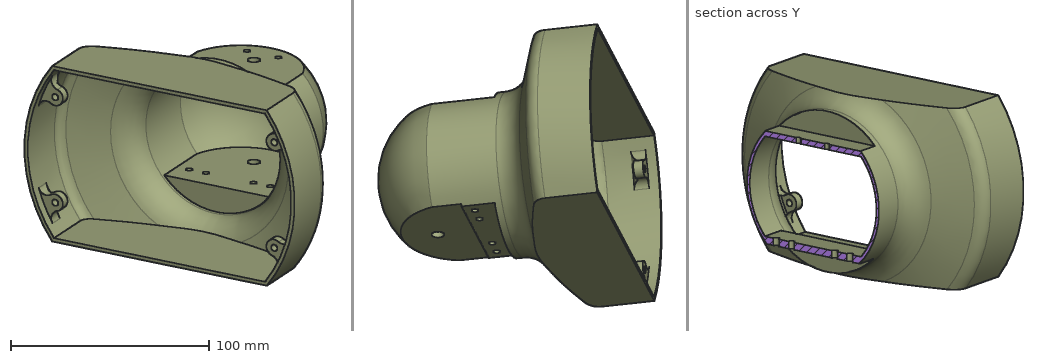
import cadquery as cq
import math

flange_radius = 78.0
flange_height = 95.0
total_length = 127.0
wall = 2.0

flange_depth = 27.1
neck_radius = 42.1
neck_start = 57.3
neck_end = 93.1
rim_round = 7.8
neck_round = 15.6

shoulder_y = 60.8
shoulder_wall = 1.5
neck_flat_z = 29.2
flat_wall = 3.1
step_height = 1.0
step_end = 78.0

cable_hole_diameter = 6.4
cable_hole_y = 97.2
mount_hole_diameter = 3.3
mount_hole_x = 9.0
mount_hole_rows = (73.3, 106.2)
step_hole_diameter = 3.5
step_hole_xs = (13.7, 23.4)
step_hole_y = 72.4

lug_x = 63.2
lug_z = 28.5
lug_radius = 4.5
lug_blend = 4.7
lug_hole_diameter = 3.5
lug_start = 5.3
lug_length = 4.8
lug_gusset = 2.8

big = 4 * flange_radius


def polar(radius, angle, center=(0, 0)):
    """Point at a radius and an angle in radians from a center."""
    return (center[0] + radius * math.cos(angle), center[1] + radius * math.sin(angle))


def slab(half_height, y_start, y_end):
    """Wide block centered on Z = 0 that spans y_start to y_end."""
    middle = (0, (y_start + y_end) / 2, 0)
    return cq.Workplane("XY").box(big, y_end - y_start, 2 * half_height).translate(middle)


def turned_body(inset):
    """Flange, S-shaped shoulder, neck and dome, offset inward by inset."""
    rim_center = (flange_radius - rim_round, flange_depth)
    neck_center = (neck_radius + neck_round, neck_start)
    rim_r = rim_round - inset
    neck_r = neck_round + inset
    inner_neck = neck_radius - inset

    across = neck_center[0] - rim_center[0]
    along = neck_center[1] - rim_center[1]
    touch = math.atan2(along, across) - math.acos((rim_round + neck_round) / math.hypot(across, along))

    dome_height = total_length - neck_end
    dome_radius = (neck_radius**2 + dome_height**2) / (2 * dome_height)
    dome_center = (0, total_length - dome_radius)
    dome_r = dome_radius - inset
    dome_edge_angle = math.acos(inner_neck / dome_r)
    dome_edge = polar(dome_r, dome_edge_angle, dome_center)
    dome_middle = polar(dome_r, (dome_edge_angle + math.pi / 2) / 2, dome_center)

    return (
        cq.Workplane("XY")
        .lineTo(flange_radius - inset, 0)
        .lineTo(flange_radius - inset, flange_depth)
        .threePointArc(polar(rim_r, touch / 2, rim_center), polar(rim_r, touch, rim_center))
        .lineTo(*polar(-neck_r, touch, neck_center))
        .threePointArc(polar(-neck_r, touch / 2, neck_center), (inner_neck, neck_start))
        .lineTo(*dome_edge)
        .threePointArc(dome_middle, (0, total_length - inset))
        .close()
        .revolve(360, (0, 0, 0), (0, 1, 0))
    )


def outer_body():
    """Turned body with flats on the flange and neck, and a raised step on the -Z flat."""
    flange = slab(flange_height / 2, 0, shoulder_y)
    neck = slab(neck_flat_z, shoulder_y, total_length)
    lower_half = cq.Workplane("XY").box(big, big, big).translate((0, 0, -big / 2))
    step = slab(neck_flat_z + step_height, shoulder_y, step_end).intersect(lower_half)
    return turned_body(0).intersect(flange.union(neck).union(step))


def cavity():
    """Inside of the shell, with flats that follow those outside."""
    pocket_start = shoulder_y - shoulder_wall
    flange = slab(flange_height / 2 - wall, 0, pocket_start)
    neck = slab(neck_flat_z - flat_wall, pocket_start, total_length)
    return turned_body(wall).intersect(flange.union(neck))


def lug():
    """Screw lug on the +X +Z side, blended into the curved flange wall.

    Its back is flat, with a 45 degree gusset where it meets the wall.
    """
    wall_r = flange_radius - wall
    seat_r = flange_radius - wall / 2
    center_r = math.hypot(lug_x, lug_z)
    center_angle = math.atan2(lug_z, lug_x)
    center = (lug_x, lug_z)

    blend_r = wall_r - lug_blend
    reach = lug_radius + lug_blend
    spread = math.acos((center_r**2 + blend_r**2 - reach**2) / (2 * center_r * blend_r))

    def blend_points(side):
        """Arc from the lug circle to the wall, then a point inside the wall."""
        wall_angle = center_angle + side * spread
        blend_center = polar(blend_r, wall_angle)
        toward_lug = math.atan2(lug_z - blend_center[1], lug_x - blend_center[0])
        sweep = math.remainder(wall_angle - toward_lug, 2 * math.pi)
        touch = polar(lug_blend, toward_lug, blend_center)
        middle = polar(lug_blend, toward_lug + sweep / 2, blend_center)
        return touch, middle, polar(wall_r, wall_angle), polar(seat_r, wall_angle)

    upper_touch, upper_middle, upper_wall, upper_seat = blend_points(1)
    lower_touch, lower_middle, lower_wall, lower_seat = blend_points(-1)
    nose = polar(center_r - lug_radius, center_angle)

    solid = (
        cq.Workplane("XZ", origin=(0, lug_start, 0))
        .moveTo(*upper_touch)
        .threePointArc(upper_middle, upper_wall)
        .lineTo(*upper_seat)
        .threePointArc(polar(seat_r, center_angle), lower_seat)
        .lineTo(*lower_wall)
        .threePointArc(lower_middle, lower_touch)
        .threePointArc(nose, upper_touch)
        .close()
        .moveTo(*center)
        .circle(lug_hole_diameter / 2)
        .extrude(-lug_length - lug_gusset)
    )

    back = lug_start + lug_length
    behind = (
        cq.Workplane("XY")
        .moveTo(0, back)
        .lineTo(wall_r - lug_gusset, back)
        .lineTo(wall_r, back + lug_gusset)
        .lineTo(0, back + lug_gusset)
        .close()
        .revolve(360, (0, 0, 0), (0, 1, 0))
    )
    return solid.cut(behind)


def holes_along_z(spots, diameter, start_z, length):
    """Cylinders at (x, y) spots; a negative length runs toward -Z."""
    return (
        cq.Workplane("XY", origin=(0, 0, start_z)).pushPoints(spots).circle(diameter / 2).extrude(length)
    )


def flat_holes():
    """Cable hole through both flats, mounting holes in the +Z flat, small holes in the -Z step."""
    cable = holes_along_z([(0, cable_hole_y)], cable_hole_diameter, -big / 2, big)
    mount_spots = [(side * mount_hole_x, row) for side in (-1, 1) for row in mount_hole_rows]
    mounts = holes_along_z(mount_spots, mount_hole_diameter, 0, big)
    step_spots = [(side * x, step_hole_y) for side in (-1, 1) for x in step_hole_xs]
    step_holes = holes_along_z(step_spots, step_hole_diameter, 0, -big)
    return cable.union(mounts).union(step_holes)


result = outer_body().cut(cavity()).cut(flat_holes())

right_lugs = lug().union(lug().mirror("XY"))
result = result.union(right_lugs).union(right_lugs.mirror("YZ"))